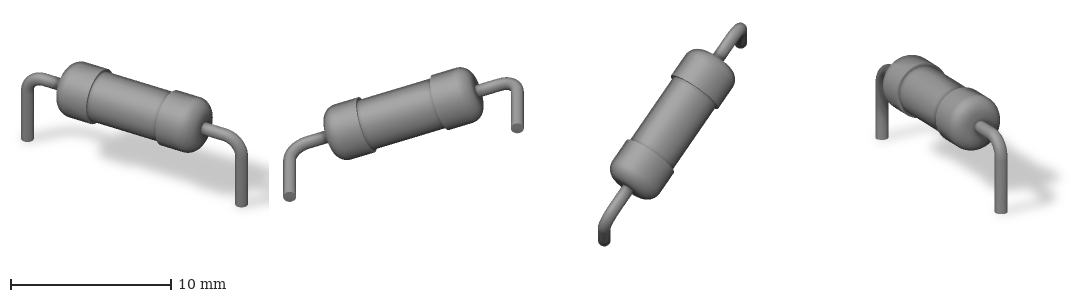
import cadquery as cq

overall_length = 16.04
lead_diameter = 0.8
lead_bend_radius = 1.2
axis_height = 4.8

body_length = 9.9
cap_diameter = 3.6
cap_length = body_length / 4
cap_rounding = cap_diameter / 4
core_diameter = 3.24

lead_pitch = overall_length - lead_diameter


def x_cylinder(diameter, length):
    """Cylinder centred on the body axis."""
    return (
        cq.Workplane("YZ", origin=(-length / 2, 0, axis_height))
        .circle(diameter / 2)
        .extrude(length)
    )


def make_body():
    """Two round-ended caps joined by a slimmer core."""
    core_length = body_length - 2 * cap_length
    envelope = x_cylinder(cap_diameter, body_length).faces("<X or >X").edges().fillet(cap_rounding)
    waist = x_cylinder(cap_diameter, core_length).cut(x_cylinder(core_diameter, core_length))
    return envelope.cut(waist)


def make_leads():
    """One continuous wire through the body, bent down at both ends."""
    foot_x = lead_pitch / 2
    bend_start_z = axis_height - lead_bend_radius
    bend_end_x = foot_x - lead_bend_radius
    path = (
        cq.Workplane("XZ")
        .moveTo(-foot_x, 0)
        .lineTo(-foot_x, bend_start_z)
        .tangentArcPoint((-bend_end_x, axis_height), relative=False)
        .lineTo(bend_end_x, axis_height)
        .tangentArcPoint((foot_x, bend_start_z), relative=False)
        .lineTo(foot_x, 0)
    )
    return cq.Workplane("XY", origin=(-foot_x, 0, 0)).circle(lead_diameter / 2).sweep(path)


result = make_body().union(make_leads())